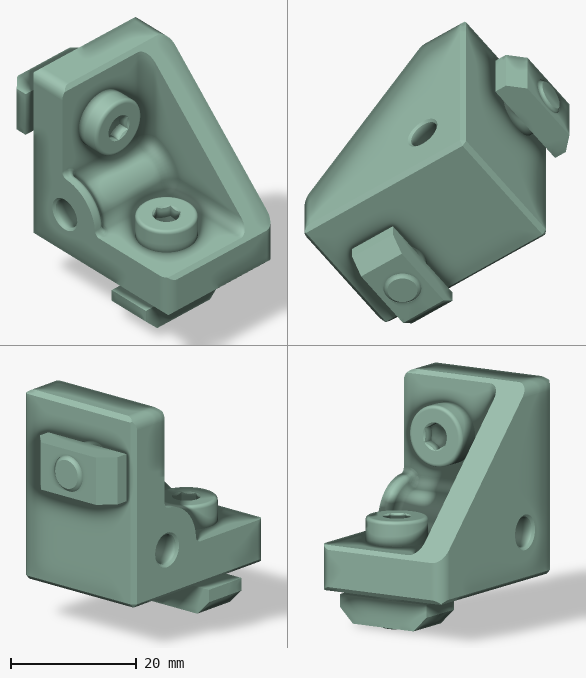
import cadquery as cq
import math

overall = 38.5
leg = 32.0
depth = 23.5
wall = 7.43
wall_end = 6.78
rib = 5.0
corner_radius = 2.0
edge_chamfer = 0.75

hole_place = 8.0
hole_diameter = 5.0
hole_chamfer = 0.4
hump_radius = 5.0
lip_radius = 7.0
lip_width = 2.0
lip_round = 0.95
lip_fillet = 1.0

screw_x = 22.5
screw_y = 8.6
head_diameter = 10.0
head_height = 4.05
head_round = 0.58
socket_flats = 4.0
socket_depth = 2.0
drill_point_depth = 1.15
thread_diameter = 6.0
tip_chamfer = 0.6
tip_reach = overall - leg

collar_diameter = 7.95
collar_height = 1.45
nut_width = collar_diameter
nut_length = 16.48
nut_height = 4.55
nut_bevel = 2.45

pocket_back = depth - rib


def make_blank():
    """Triangular block with chamfered mounting faces and rounded wall corners."""
    outline = [(0, 0), (leg, 0), (leg, wall_end), (wall_end, leg), (0, leg)]
    blank = cq.Workplane("XZ").polyline(outline).close().extrude(-depth)
    blank = blank.faces("<X or <Z").chamfer(edge_chamfer)
    rounded_box = (
        cq.Workplane("XY")
        .box(leg, depth, leg, centered=False)
        .edges("(>X and |Z) or (>Z and |X)")
        .fillet(corner_radius)
    )
    return blank.intersect(rounded_box)


def make_pocket():
    """Space between the walls, following the hump, with fillets where it meets the rib."""
    pocket = (
        cq.Workplane("XY")
        .box(leg, pocket_back, leg, centered=False)
        .translate((wall, 0, wall))
    )
    pocket = pocket.cut(corner_cylinder(hump_radius, depth))
    pocket = pocket.edges("|Y").fillet(corner_radius)
    return pocket.faces(">Y").edges().fillet(corner_radius)


def corner_cylinder(radius, length):
    """Cylinder around the axis of the corner hole, starting at the front face."""
    return cq.Workplane("XZ").center(hole_place, hole_place).circle(radius).extrude(-length)


def add_lip(bracket):
    """Widen the hump along the front edge and blend it into the pocket."""
    lip = corner_cylinder(lip_radius, lip_width).faces(">Y").edges().fillet(lip_round)
    bracket = bracket.union(lip)
    near_side = wall / 2
    far_side = wall + lip_radius + lip_round
    lip_region = cq.selectors.BoxSelector((near_side, 0, near_side), (far_side, lip_width, far_side))
    return bracket.edges(lip_region).edges("|Y").fillet(lip_fillet)


def corner_hole():
    """Cutter for the corner hole, chamfered at both ends."""
    radius = hole_diameter / 2
    profile = [
        (0, 0),
        (radius + hole_chamfer, 0),
        (radius, hole_chamfer),
        (radius, depth - hole_chamfer),
        (radius + hole_chamfer, depth),
        (0, depth),
    ]
    return (
        cq.Workplane("XY")
        .polyline(profile)
        .close()
        .revolve(360, (0, 0, 0), (0, 1, 0))
        .translate((hole_place, 0, hole_place))
    )


def upright_cone(bottom_radius, top_radius, bottom, top):
    """Cone on the Z axis between two heights."""
    base = cq.Vector(0, 0, bottom)
    return cq.Workplane(cq.Solid.makeCone(bottom_radius, top_radius, top - bottom, base))


def make_head():
    """Hexagon socket head on the Z axis, standing on the inner wall surface."""
    top = wall + head_height
    head = cq.Workplane("XY").workplane(offset=wall).circle(head_diameter / 2).extrude(head_height)
    head = head.faces(">Z").edges().fillet(head_round)
    socket_corners = socket_flats / math.cos(math.pi / 6)
    socket_bottom = top - socket_depth
    drill_bottom = socket_bottom - drill_point_depth
    hexagon = (
        cq.Workplane("XY")
        .workplane(offset=drill_bottom)
        .polygon(6, socket_corners)
        .extrude(top - drill_bottom)
    )
    drill_point = upright_cone(0, socket_corners / 2, drill_bottom, socket_bottom)
    drilling = drill_point.faces(">Z").wires().toPending().extrude(socket_depth)
    lead_in_depth = (socket_corners - socket_flats) / 2
    lead_in = upright_cone(socket_flats / 2, socket_corners / 2, top - lead_in_depth, top)
    return head.cut(hexagon.intersect(drilling)).cut(lead_in)


def make_nut():
    """Slot nut with its collar, and the chamfered screw end that passes through it."""
    nut_bottom = -collar_height - nut_height
    nut = (
        cq.Workplane("XY")
        .workplane(offset=nut_bottom)
        .rect(nut_width, nut_length)
        .extrude(nut_height)
        .edges("|X and <Z")
        .chamfer(nut_bevel)
    )
    collar = cq.Workplane("XY").circle(collar_diameter / 2).extrude(-collar_height)
    bore = cq.Workplane("XY").circle(thread_diameter / 2).extrude(-tip_reach)
    screw_end = bore.faces("<Z").chamfer(tip_chamfer)
    return nut.union(collar).cut(bore).union(screw_end)


def at_screw(shape):
    """Move a shape from the Z axis to the axis of the upright screw."""
    return shape.translate((screw_x, screw_y, 0))


def on_other_wall(shape):
    """Mirror image of a shape about the plane X = Z."""
    return shape.mirror((1, 0, -1))


bracket = add_lip(make_blank().cut(make_pocket()))
bracket = bracket.cut(corner_hole())

for fitting in (at_screw(make_head()), at_screw(make_nut())):
    bracket = bracket.union(fitting).union(on_other_wall(fitting))

result = bracket